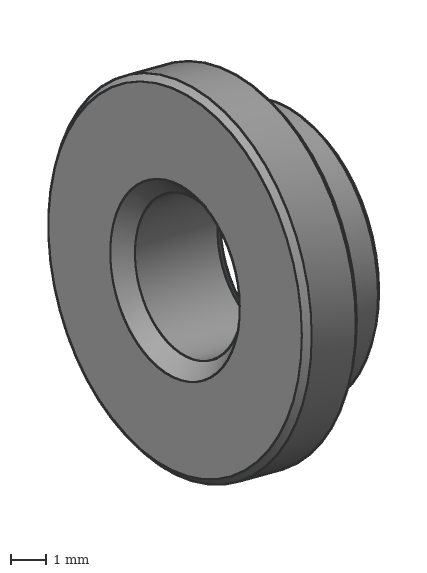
import cadquery as cq

flange_diameter = 12.0
flange_thickness = 2.0
boss_diameter = 9.0
boss_length = 2.0
bore_diameter = 4.92
edge_chamfer = 0.2
bore_chamfer = 0.5

total_length = flange_thickness + boss_length


def disc(diameter, start, length):
    """Solid cylinder on the Y axis running from Y = start towards +Y."""
    plane = cq.Workplane("XZ", origin=(0, start, 0))
    return plane.circle(diameter / 2).extrude(-length)


def bore_cutter():
    """Through bore with a 45 degree chamfer at each mouth."""
    bore_radius = bore_diameter / 2
    mouth_radius = bore_radius + bore_chamfer
    profile = (
        cq.Workplane("XY")
        .moveTo(0, 0)
        .lineTo(mouth_radius, 0)
        .lineTo(bore_radius, bore_chamfer)
        .lineTo(bore_radius, total_length - bore_chamfer)
        .lineTo(mouth_radius, total_length)
        .lineTo(0, total_length)
        .close()
    )
    return profile.revolve(360, (0, 0, 0), (0, 1, 0))


flange = disc(flange_diameter, 0, flange_thickness).edges().chamfer(edge_chamfer)
boss = disc(boss_diameter, flange_thickness, boss_length).faces(">Y").edges().chamfer(edge_chamfer)

result = flange.union(boss).cut(bore_cutter())